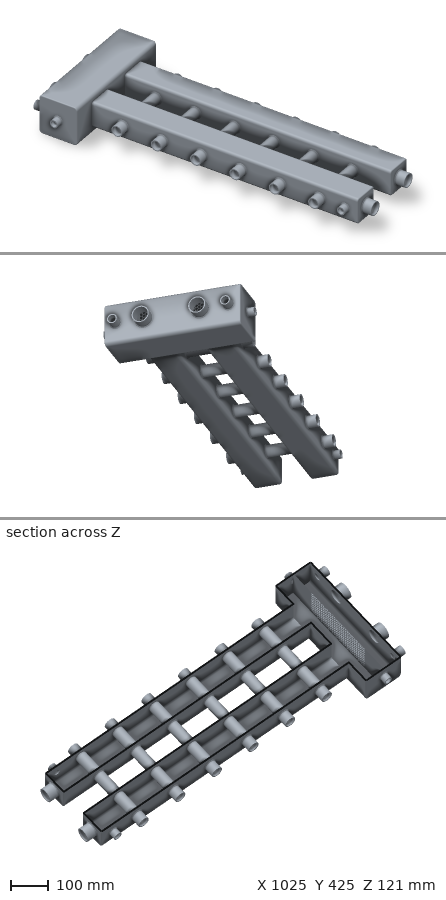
import cadquery as cq
import math

total_length = 1025.0
total_width = 425.0
port_length = 30.0
short_port_length = 20.0
wall = 3.0
weld_width = 3.0
weld_height = 2.0
end_round = 3.0

collector_side = 121.0
collector_corner = 10.0
bar_side = 80.0
bar_corner = 8.0
bar_spacing = 160.0

branch_count = 6
branch_pitch = 125.0
branch_start = 249.0

inlet_size = (48.0, 42.0)
outlet_size = (42.0, 36.0)
branch_size = (34.0, 28.0)
gauge_size = (28.0, 22.0)
vent_size = (25.0, 18.0)

screen_thickness = 2.0
screen_hole = 7.5
screen_pitch = 9.0

collector_left = port_length
collector_x = collector_left + collector_side / 2
collector_length = total_width - 2 * short_port_length
bar_end = total_length - port_length
bar_y = bar_spacing / 2
vent_x = bar_end - bar_side / 2
bar_outer_y = bar_y + bar_side / 2
gauge_y = 2 * bar_y
branch_tip_y = bar_outer_y + port_length
branch_positions = [branch_start + i * branch_pitch for i in range(branch_count)]

X_AXIS = cq.Vector(1, 0, 0)
Y_AXIS = cq.Vector(0, 1, 0)


def rod(diameter, length, start, direction):
    """Solid cylinder from a start point along a direction."""
    return cq.Workplane(cq.Solid.makeCylinder(diameter / 2, length, start, direction))


def weld_bead(pipe_diameter, base, direction):
    """Conical bead narrowing from the wall to the pipe surface."""
    base_radius = pipe_diameter / 2 + weld_width
    return cq.Workplane(cq.Solid.makeCone(base_radius, pipe_diameter / 2, weld_height, base, direction))


def square_bar(side, length, corner_radius, direction):
    """Square bar with rounded long edges, centred on the origin along "X" or "Y"."""
    if direction == "X":
        blank = cq.Workplane().box(length, side, side)
    else:
        blank = cq.Workplane().box(side, length, side)
    return blank.edges("|" + direction).fillet(corner_radius)


def collector_outer():
    body = square_bar(collector_side, collector_length, collector_corner, "Y")
    body = body.faces("<Y or >Y").edges().fillet(end_round)
    return body.translate((collector_x, 0, 0))


def collector_cavity():
    cavity = square_bar(collector_side - 2 * wall, collector_length - 2 * wall, collector_corner - wall, "Y")
    return cavity.translate((collector_x, 0, 0))


def bar_outer(y):
    length = bar_end - collector_x
    body = square_bar(bar_side, length, bar_corner, "X").faces(">X").edges().fillet(end_round)
    return body.translate((collector_x + length / 2, y, 0))


def bar_cavity(y):
    """Bar interior, open into the collector and closed by the end plate."""
    length = bar_end - wall - collector_x
    cavity = square_bar(bar_side - 2 * wall, length, bar_corner - wall, "X")
    return cavity.translate((collector_x + length / 2, y, 0))


def perforated_screen():
    """Upright sheet across the collector, with staggered holes facing the bars."""
    width = collector_length - wall
    height = collector_side - wall
    clear_height = collector_side - 2 * wall
    row_step = screen_pitch * math.sqrt(3) / 2
    hole_margin = screen_pitch / 2
    last_column = int((bar_outer_y - hole_margin) / row_step)
    last_row = int((clear_height / 2 - hole_margin) / screen_pitch)
    points = []
    for column in range(-last_column, last_column + 1):
        stagger = screen_pitch / 2 if column % 2 else 0
        for row in range(-last_row - 1, last_row + 1):
            z = row * screen_pitch + stagger
            if abs(z) <= clear_height / 2 - hole_margin:
                points.append((column * row_step, z))
    sheet = cq.Workplane("YZ").rect(width, height).pushPoints(points)
    sheet = sheet.circle(screen_hole / 2).extrude(screen_thickness)
    return sheet.translate((collector_x - screen_thickness / 2, 0, 0))


ports = []
for side in (-1, 1):
    outward = Y_AXIS * side
    left_wall = cq.Vector(collector_left, side * bar_y, 0)
    ports.append((inlet_size, left_wall, -X_AXIS, port_length))
    ports.append((gauge_size, cq.Vector(collector_left, side * gauge_y, 0), -X_AXIS, port_length))
    ports.append((outlet_size, cq.Vector(bar_end, side * bar_y, 0), X_AXIS, port_length))
    end_wall = cq.Vector(collector_x, side * collector_length / 2, 0)
    ports.append((vent_size, end_wall, outward, short_port_length))
    ports.append((vent_size, cq.Vector(vent_x, side * bar_outer_y, 0), outward, short_port_length))

body = collector_outer()
for side in (-1, 1):
    body = body.union(bar_outer(side * bar_y))
body = body.cut(collector_cavity())
for side in (-1, 1):
    body = body.cut(bar_cavity(side * bar_y))

for (outer, bore), base, direction, length in ports:
    wall_middle = base - direction * (wall / 2)
    body = body.union(rod(outer, length + wall / 2, wall_middle, direction))
    body = body.union(weld_bead(outer, base, direction))
    inner_start = base - direction * (2 * wall)
    body = body.cut(rod(bore, length + 2 * wall, inner_start, direction))

for x in branch_positions:
    tip = cq.Vector(x, -branch_tip_y, 0)
    body = body.union(rod(branch_size[0], 2 * branch_tip_y, tip, Y_AXIS))
    for side in (-1, 1):
        for face_side in (-1, 1):
            face = cq.Vector(x, side * bar_y + face_side * bar_side / 2, 0)
            body = body.union(weld_bead(branch_size[0], face, Y_AXIS * face_side))
    body = body.cut(rod(branch_size[1], 2 * branch_tip_y, tip, Y_AXIS))

result = body.union(perforated_screen())